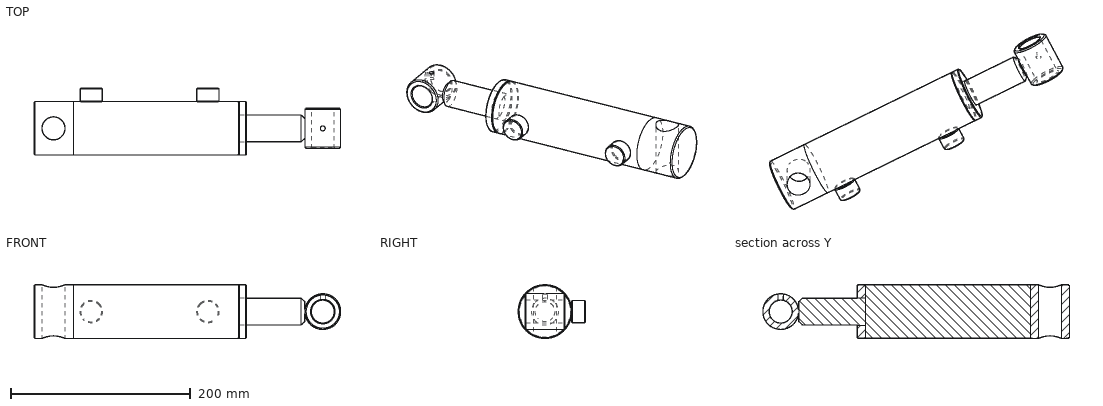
import cadquery as cq


body_diameter = 60.0
cap_length = 44.0
barrel_end = 228.0
gland_length = 9.0
edge_chamfer = 1.0
cap_chamfer = 1.5
gland_end = barrel_end + gland_length

pin_hole_diameter = 25.4
cap_hole_x = cap_length / 2

overall_length = 342.0
eye_diameter = 40.0
eye_width = 45.0
eye_x = overall_length - eye_diameter / 2
eye_rim_chamfer = 1.5
grease_hole_diameter = 5.5

rod_diameter = 30.0
rod_tip_chamfer = 4.0
rod_end = eye_x - eye_diameter / 2

port_diameter = 25.0
port_seat_y = 29.5
port_top_y = 45.0
port_positions = [64.0, 194.0]


def cylinder_along_x(diameter, start, end):
    """Solid cylinder on the X axis between two X positions."""
    return cq.Workplane("YZ", origin=(start, 0, 0)).circle(diameter / 2).extrude(end - start)


def cylinder_along_y(diameter, x, start, end):
    """Solid cylinder parallel to Y at the given X between two Y positions."""
    return cq.Workplane("XZ", origin=(x, start, 0)).circle(diameter / 2).extrude(start - end)


def make_port(x):
    """Round port boss, chamfered at its seat and at its outer end."""
    port = cylinder_along_y(port_diameter, x, port_seat_y, port_top_y)
    return port.edges("%CIRCLE").chamfer(edge_chamfer)


def make_end_cap():
    """Closed end cap with a chamfered outer rim and a vertical pin hole."""
    cap = cylinder_along_x(body_diameter, 0, cap_length).faces("<X").chamfer(cap_chamfer)
    pin = (
        cq.Workplane("XY")
        .center(cap_hole_x, 0)
        .circle(pin_hole_diameter / 2)
        .extrude(body_diameter, both=True)
    )
    return cap.cut(pin)


def make_barrel(port_bodies):
    """Barrel with a recess that matches the seat of each port."""
    barrel = cylinder_along_x(body_diameter, cap_length, barrel_end)
    for port in port_bodies:
        barrel = barrel.cut(port)
    return barrel


def make_gland():
    """Ring at the rod end, chamfered on both outer rims and bored for the rod."""
    gland = cylinder_along_x(body_diameter, barrel_end, gland_end)
    gland = gland.edges("%CIRCLE").chamfer(edge_chamfer)
    return gland.cut(cylinder_along_x(rod_diameter, barrel_end, gland_end))


def make_rod():
    """Piston rod with a chamfered tip."""
    return cylinder_along_x(rod_diameter, barrel_end, rod_end).faces(">X").chamfer(rod_tip_chamfer)


def make_rod_eye():
    """Cross tube with a chamfered pin bore and a grease hole through its upper wall."""
    half_width = eye_width / 2
    eye = cylinder_along_y(eye_diameter, eye_x, -half_width, half_width)
    eye = eye.edges("%CIRCLE").chamfer(eye_rim_chamfer)
    eye = eye.cut(cylinder_along_y(pin_hole_diameter, eye_x, -half_width, half_width))
    bore_rims = cq.selectors.RadiusNthSelector(0)
    eye = eye.edges("%CIRCLE").edges(bore_rims).chamfer(edge_chamfer)
    grease_hole = (
        cq.Workplane("XY")
        .center(eye_x, 0)
        .circle(grease_hole_diameter / 2)
        .extrude(eye_diameter / 2)
    )
    return eye.cut(grease_hole)


ports = [make_port(x) for x in port_positions]
end_cap = make_end_cap()
barrel = make_barrel(ports)
gland = make_gland()
rod = make_rod()
rod_eye = make_rod_eye()

result = cq.Compound.makeCompound([
    end_cap.val(),
    barrel.val(),
    gland.val(),
    rod.val(),
    rod_eye.val(),
    *[port.val() for port in ports],
])